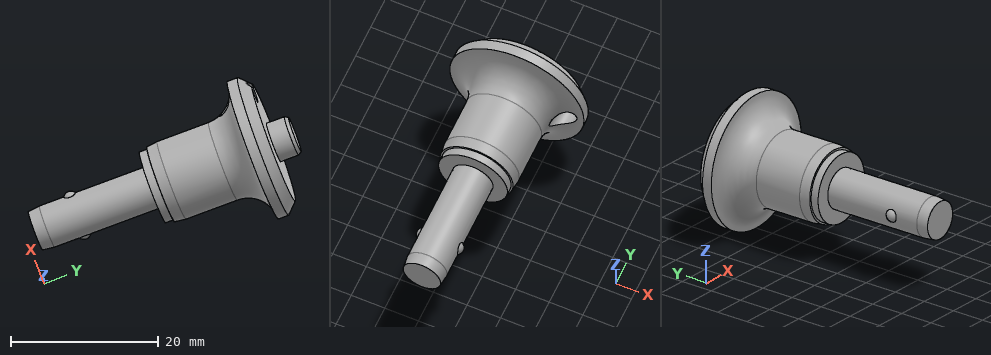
import cadquery as cq
import math


shank_radius = 3.0
shank_length = 17.0
tip_radius = 2.8
tip_taper_length = 1.7

ball_radius = 1.0
ball_protrusion = 0.5
ball_from_tip = 6.1

collar_radius = 5.15
collar_length = 1.2
grip_radius = 5.65
grip_end_radius = 5.45
grip_end_length = 1.6
grip_straight_length = 7.45

flange_radius = 10.0
rim_width = 1.5
flange_bevel = 1.5
flare_radius = flange_radius - grip_radius

button_radius = 2.8
button_height = 3.1
button_chamfer = 0.5
button_chamfer_inset = 0.3

lanyard_hole_diameter = 3.0
lanyard_hole_offset = 7.5

tip_y = -shank_length
grip_end_y = collar_length
grip_straight_y = grip_end_y + grip_end_length
flare_y = grip_straight_y + grip_straight_length
rim_y = flare_y + flare_radius
bevel_y = rim_y + rim_width
flange_top_y = bevel_y + flange_bevel
button_top_y = flange_top_y + button_height


def turned_body():
    """Revolve the half profile of shank, grip, flange and button about the Y axis."""
    flare_reach = flare_radius * (1 - math.sqrt(0.5))
    flare_middle = (grip_radius + flare_reach, rim_y - flare_reach)
    profile = (
        cq.Workplane("XY")
        .moveTo(0, tip_y)
        .lineTo(tip_radius, tip_y)
        .lineTo(shank_radius, tip_y + tip_taper_length)
        .lineTo(shank_radius, 0)
        .lineTo(collar_radius, 0)
        .lineTo(collar_radius, grip_end_y)
        .lineTo(grip_end_radius, grip_end_y)
        .lineTo(grip_radius, grip_straight_y)
        .lineTo(grip_radius, flare_y)
        .threePointArc(flare_middle, (flange_radius, rim_y))
        .lineTo(flange_radius, bevel_y)
        .lineTo(flange_radius - flange_bevel, flange_top_y)
        .lineTo(button_radius, flange_top_y)
        .lineTo(button_radius, button_top_y - button_chamfer)
        .lineTo(button_radius - button_chamfer_inset, button_top_y)
        .lineTo(0, button_top_y)
        .close()
    )
    return profile.revolve(360, (0, 0, 0), (0, 1, 0))


def locking_ball(side):
    """Ball partly sunk in the shank, on the +X (side = 1) or -X (side = -1) side."""
    center_x = side * (shank_radius + ball_protrusion - ball_radius)
    return cq.Workplane("XY").sphere(ball_radius).translate((center_x, tip_y + ball_from_tip, 0))


def lanyard_hole():
    """Cylinder parallel to Y that passes through the flare and the flange."""
    return (
        cq.Workplane("XZ", origin=(lanyard_hole_offset, flange_top_y, 0))
        .circle(lanyard_hole_diameter / 2)
        .extrude(flange_top_y - flare_y)
    )


result = turned_body()
for side in (-1, 1):
    result = result.union(locking_ball(side))
result = result.cut(lanyard_hole())